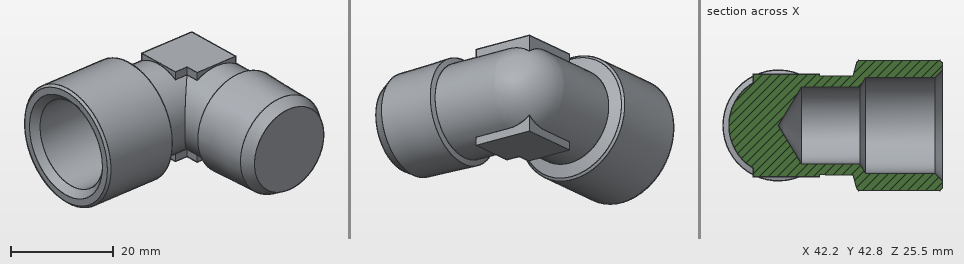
import cadquery as cq
import math


body_radius = 9.67
arm_length = 14.5

socket_radius = 12.75
socket_end = 32.0
socket_chamfer = 0.5
socket_back_chamfer_length = 0.4
back_slope = math.radians(15)

bore_radius = 9.32
bore_mouth_radius = 10.78
bore_depth = 15.0
drill_radius = 7.5
drill_tip_depth = socket_end
drill_half_angle = math.radians(59)

spigot_radius = 10.82
spigot_end = 29.5
spigot_chamfer_length = 2.5
spigot_chamfer_angle = math.radians(30)
taper_per_length = 1 / 16

flat_offset = 10.0
flat_size = 13.0
flat_corner_offset = 4.95
notch_size = 3.0


def revolve_arm(outline):
    """Revolve (distance along the arm, radius) points into a solid lying along +X."""
    return cq.Workplane("XY").polyline(outline).close().revolve(360, (0, 0, 0), (1, 0, 0))


def turn_to_socket(solid):
    """Turn a solid from the +X arm to the -Y arm."""
    return solid.rotate((0, 0, 0), (0, 0, 1), -90)


def make_spigot_arm():
    taper_start = arm_length + (spigot_radius - body_radius) * math.tan(back_slope)
    taper_end = spigot_end - spigot_chamfer_length
    taper_end_radius = spigot_radius - (taper_end - taper_start) * taper_per_length / 2
    tip_radius = taper_end_radius - spigot_chamfer_length * math.tan(spigot_chamfer_angle)
    return revolve_arm([
        (0, 0),
        (0, body_radius),
        (arm_length, body_radius),
        (taper_start, spigot_radius),
        (taper_end, taper_end_radius),
        (spigot_end, tip_radius),
        (spigot_end, 0),
    ])


def make_socket_arm():
    rim_radius = socket_radius - socket_chamfer
    back_end = arm_length + (rim_radius - body_radius) * math.tan(back_slope)
    return turn_to_socket(revolve_arm([
        (0, 0),
        (0, body_radius),
        (arm_length, body_radius),
        (back_end, rim_radius),
        (back_end + socket_back_chamfer_length, socket_radius),
        (socket_end - socket_chamfer, socket_radius),
        (socket_end, rim_radius),
        (socket_end, 0),
    ]))


def make_socket_bore():
    lead_in_end = socket_end - (bore_mouth_radius - bore_radius)
    shoulder_start = socket_end - bore_depth
    shoulder_end = shoulder_start - (bore_radius - drill_radius) / math.tan(drill_half_angle)
    drill_tip = socket_end - drill_tip_depth
    drill_point_start = drill_tip + drill_radius / math.tan(drill_half_angle)
    return turn_to_socket(revolve_arm([
        (socket_end, 0),
        (socket_end, bore_mouth_radius),
        (lead_in_end, bore_radius),
        (shoulder_start, bore_radius),
        (shoulder_end, drill_radius),
        (drill_point_start, drill_radius),
        (drill_tip, 0),
    ]))


def make_wrench_flats():
    outer = flat_corner_offset
    inner = flat_size - flat_corner_offset
    notch = inner - notch_size
    return (
        cq.Workplane("XY")
        .workplane(offset=-flat_offset)
        .polyline([
            (-outer, outer),
            (inner, outer),
            (inner, -notch),
            (notch, -notch),
            (notch, -inner),
            (-outer, -inner),
        ])
        .close()
        .extrude(2 * flat_offset)
    )


elbow = cq.Workplane("XY").sphere(body_radius)
elbow = elbow.union(make_spigot_arm()).union(make_socket_arm()).union(make_wrench_flats())
result = elbow.cut(make_socket_bore())